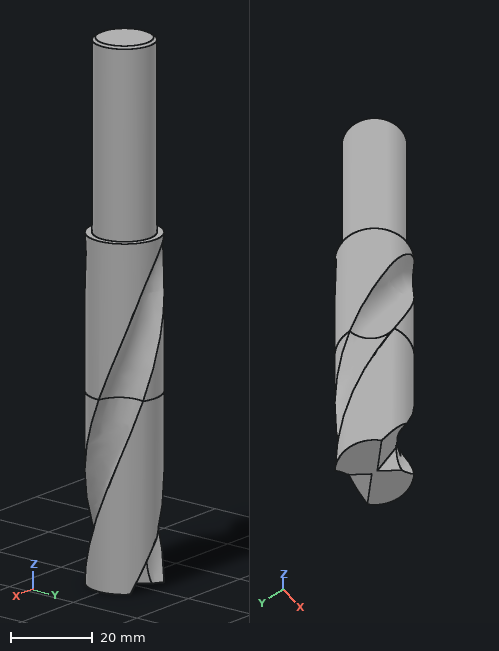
import cadquery as cq
import math

total_length = 140.0
body_radius = 9.73
shank_radius = 8.0
shoulder_height = 90.0
joint_height = 49.3
chamfer_radial = 0.8
chamfer_axial = 0.5

flute_count = 2
flute_radius = 7.0
flute_floor = 5.5
flute_start_angle = 275.7
twist_rate = 2.371
flute_end = 74.9
runout_top = 89.3
runout_stations = 8
end_margin = 2.8

gash_corner = (0.0, -0.8)
gash_rise = 6.0
gash_shift = (1.5, -2.8)
gash_relief_direction = (-4.7, -4.5)
gash_edge_direction = (2.5, -3.5)
gash_reach = 4.2
gash_top = 16.8


def flute_section(z, floor):
    """Circle of the flute at height z, turned to the helix angle there."""
    angle = flute_start_angle + twist_rate * z
    plane = cq.Plane(origin=(0, 0, z)).rotated((0, 0, angle))
    return cq.Workplane(plane).moveTo(floor + flute_radius, 0).circle(flute_radius)


def helical_flute():
    height = flute_end + end_margin
    return flute_section(-end_margin, flute_floor).twistExtrude(height, twist_rate * height)


def flute_runout():
    """Continue the helix while the floor rises outwards along an arc."""
    length = runout_top - flute_end
    rise = body_radius - flute_floor
    arc_radius = (length**2 + rise**2) / (2 * rise)
    sections = []
    for i in range(runout_stations + 1):
        along = length * i / (runout_stations - 1)
        floor = flute_floor + arc_radius - math.sqrt(arc_radius**2 - along**2)
        sections.append(flute_section(flute_end + along, floor).wires().val())
    return cq.Workplane(cq.Solid.makeLoft(sections))


def gash_section(z):
    """Triangle of the gash at height z; its corner moves along a slanted line."""
    corner_x = gash_corner[0] + gash_shift[0] * z / gash_rise
    corner_y = gash_corner[1] + gash_shift[1] * z / gash_rise
    points = [cq.Vector(corner_x, corner_y, z)]
    for direction_x, direction_y in (gash_relief_direction, gash_edge_direction):
        x = corner_x + gash_reach * direction_x
        y = corner_y + gash_reach * direction_y
        points.append(cq.Vector(x, y, z))
    return cq.Wire.makePolygon(points, close=True)


def tip_gash():
    sections = [gash_section(-end_margin), gash_section(gash_top)]
    return cq.Workplane(cq.Solid.makeLoft(sections, True))


def around_axis(blank, cutter):
    """Cut the cutter from the blank once per flute, evenly around the axis."""
    for i in range(flute_count):
        turned = cutter.rotate((0, 0, 0), (0, 0, 1), 360 * i / flute_count)
        blank = blank.cut(turned)
    return blank


def make_cutting_head():
    head = cq.Workplane("XY").circle(body_radius).extrude(joint_height)
    head = around_axis(head, helical_flute())
    return around_axis(head, tip_gash())


def make_holder():
    fluted_length = shoulder_height - joint_height
    shank_length = total_length - shoulder_height
    fluted = cq.Workplane("XY", origin=(0, 0, joint_height)).circle(body_radius).extrude(fluted_length)
    fluted = around_axis(fluted, helical_flute())
    fluted = around_axis(fluted, flute_runout())
    shank = cq.Workplane("XY", origin=(0, 0, shoulder_height)).circle(shank_radius).extrude(shank_length)
    shank = shank.faces(">Z").chamfer(chamfer_axial, chamfer_radial)
    return fluted.union(shank)


cutting_head = make_cutting_head()
holder = make_holder()
result = cq.Compound.makeCompound([cutting_head.val(), holder.val()])